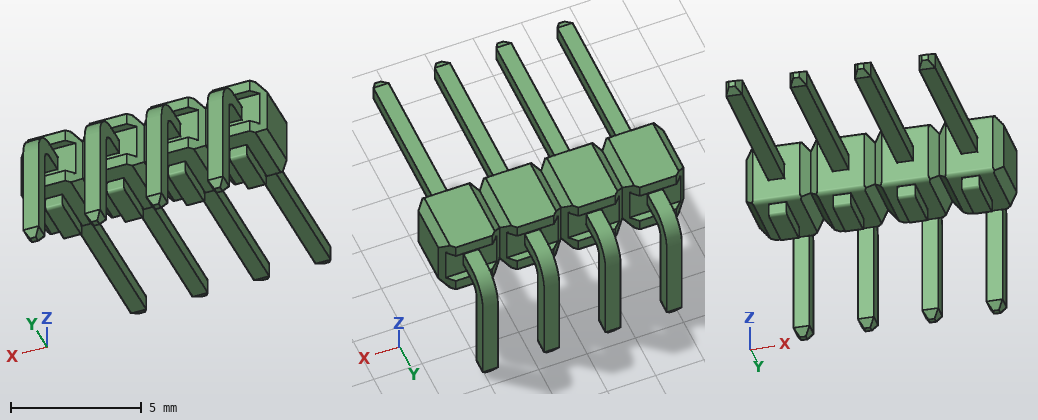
import cadquery as cq


pin_count = 4
row_length = 10.17
pitch = row_length / pin_count

block_depth = 2.82
block_height = 2.54
side_chamfer = 0.34
rear_chamfer = 0.51
front_fillet = 0.2

channel_height = 1.51
channel_depth = 0.3

pad_width = 0.7
pad_length = 1.93
pad_height = 0.53
pad_front_gap = 0.19
pad_fillet = 0.13

pin_size = 0.63
pin_reach = 6.69
total_depth = 11.11
total_height = 6.29
bend_outer_radius = 1.08
bend_inner_radius = bend_outer_radius - pin_size
tip_length = 0.33
tip_end_size = 0.24

pin_axis_z = block_height / 2
leg_back_y = total_depth - pin_reach
leg_axis_y = leg_back_y - pin_size / 2
leg_tip_z = block_height - total_height
pin_places = [(i - (pin_count - 1) / 2) * pitch for i in range(pin_count)]


def make_block():
    """Housing block centred on X = 0, with its bevelled sides, rounded front and pad."""
    half = pitch / 2
    plan = (
        cq.Workplane("XY")
        .polyline([
            (half - side_chamfer, 0),
            (half, side_chamfer),
            (half, block_depth - rear_chamfer),
            (half - rear_chamfer, block_depth),
            (-half + rear_chamfer, block_depth),
            (-half, block_depth - rear_chamfer),
            (-half, side_chamfer),
            (-half + side_chamfer, 0),
        ])
        .close()
        .extrude(block_height)
    )
    front_outline = (
        cq.Workplane("XZ")
        .center(0, block_height / 2)
        .rect(pitch, block_height)
        .extrude(-block_depth)
        .edges("|Y")
        .chamfer(side_chamfer)
    )
    block = plan.intersect(front_outline)
    block = block.faces("<Y").edges("|X").fillet(front_fillet)
    return block.union(make_pad())


def make_pad():
    """Standoff pad below a block, rounded along its lower front and rear edges."""
    return (
        cq.Workplane("XY")
        .box(pad_width, pad_length, pad_height, centered=(True, False, False))
        .faces("<Z")
        .edges("|X")
        .fillet(pad_fillet)
        .translate((0, pad_front_gap, -pad_height))
    )


def make_tip(base_plane):
    """Tapered square tip that grows from the end of a pin along the plane's normal."""
    return (
        cq.Workplane(base_plane)
        .rect(pin_size, pin_size)
        .workplane(offset=tip_length)
        .rect(tip_end_size, tip_end_size)
        .loft(ruled=True)
    )


def make_pin():
    """Bent square pin centred on X = 0, tapered at both ends."""
    front_end_y = tip_length - pin_reach
    leg_end_z = leg_tip_z + tip_length
    pin_top_z = pin_axis_z + pin_size / 2
    pin_bottom_z = pin_axis_z - pin_size / 2
    leg_front_y = leg_back_y - pin_size
    bend_y = leg_back_y - bend_outer_radius
    bend_z = pin_top_z - bend_outer_radius

    shaft = (
        cq.Workplane("YZ")
        .moveTo(front_end_y, pin_top_z)
        .lineTo(bend_y, pin_top_z)
        .radiusArc((leg_back_y, bend_z), bend_outer_radius)
        .lineTo(leg_back_y, leg_end_z)
        .lineTo(leg_front_y, leg_end_z)
        .lineTo(leg_front_y, bend_z)
        .radiusArc((bend_y, pin_bottom_z), -bend_inner_radius)
        .lineTo(front_end_y, pin_bottom_z)
        .close()
        .extrude(pin_size / 2, both=True)
    )
    front_plane = cq.Plane(origin=(0, front_end_y, pin_axis_z), xDir=(1, 0, 0), normal=(0, -1, 0))
    leg_plane = cq.Plane(origin=(0, leg_axis_y, leg_end_z), xDir=(1, 0, 0), normal=(0, 0, -1))
    return shaft.union(make_tip(front_plane)).union(make_tip(leg_plane))


def make_pins():
    """One separate pin at each place along the row."""
    return [make_pin().translate((x, 0, 0)) for x in pin_places]


def make_housing(pins):
    """Joined row of blocks with the rear channel and a fitting hole for each pin."""
    housing = make_block().translate((pin_places[0], 0, 0))
    for x in pin_places[1:]:
        housing = housing.union(make_block().translate((x, 0, 0)))
    channel = (
        cq.Workplane("XY")
        .box(row_length, channel_depth, channel_height)
        .translate((0, block_depth - channel_depth / 2, block_height / 2))
    )
    housing = housing.cut(channel)
    for pin in pins:
        housing = housing.cut(pin)
    return housing


pins = make_pins()
housing = make_housing(pins)

result = cq.Compound.makeCompound([housing.val(), *[pin.val() for pin in pins]])